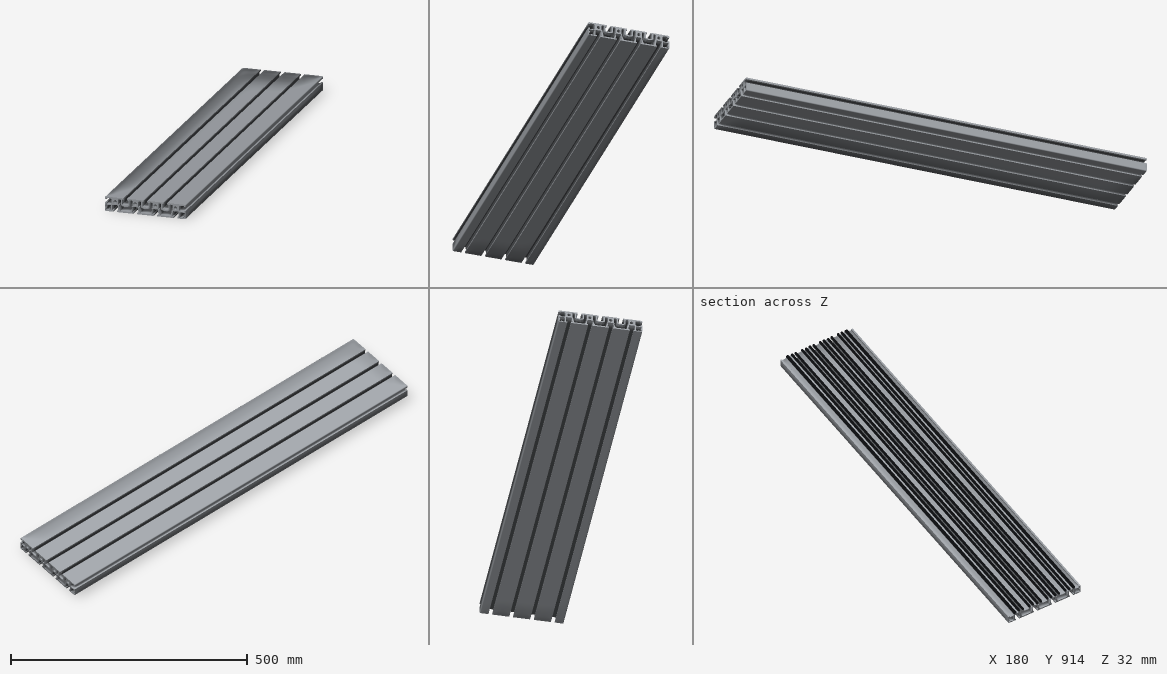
import cadquery as cq

length = 914.0
width = 180.0
height = 32.0
half_width = width / 2
half_height = height / 2
corner_radius = 2.0

skin = 3.0
slot_count = 4
pitch = 45.0
slot_opening = 8.0
skin_top = half_height - skin
skin_bottom = skin - half_height

cavity_half = 6.8
channel_wall = 2.8
channel_half = cavity_half + channel_wall
corner_fillet = 2.0
channel_floor_half = 4.0
channel_floor = 0.5
channel_shoulder = 2.0
channel_bottom = -2.5
channel_chamfer_top = 0.2

side_lip = 4.0
side_depth = 15.0
side_floor = -0.2
side_fillet = 3.2
side_slot_z = 6.8

box_wall = 1.65
box_depth = 14.0
box_top = -2.0
box_bottom = box_wall - half_height
rib_width = 4.0
rib_height = skin - box_wall

screw_diameter = 7.2
screw_z = 6.0
pillar_half = 6.6
pillar_bottom = -0.7
web_inner_top = 5.7
web_inner_bottom = 6.95
web_outer_bottom = 11.0
inner_foot_half = 8.5
inner_web_neck = 6.0
end_foot_half = 8.7
end_shoulder_z = 1.5

inner_flank = [
    (pillar_half, skin_top),
    (pillar_half, 0.0),
    (inner_foot_half, pillar_bottom),
    (inner_web_neck, box_top),
    (web_outer_bottom, skin_bottom),
]
end_flank = [
    (pillar_half, skin_top),
    (pillar_half, end_shoulder_z),
    (end_foot_half, side_floor),
    (end_foot_half, box_top),
    (web_outer_bottom, skin_bottom),
]

pillar_xs = [(i - (slot_count - 1) / 2) * pitch for i in range(slot_count)]
top_slot_xs = [(left + right) / 2 for left, right in zip(pillar_xs, pillar_xs[1:])]


def prism(points):
    """Full-length bar with the given XZ outline."""
    return cq.Workplane("XZ").polyline(points).close().extrude(length / 2, both=True)


def bar(x_min, x_max, z_min, z_max):
    """Full-length rectangular bar."""
    return prism([(x_min, z_min), (x_max, z_min), (x_max, z_max), (x_min, z_max)])


def mirrored(half_outline, x_centre):
    """Closed outline from its right half, reflected about x_centre."""
    right = [(x_centre + x, z) for x, z in half_outline]
    left = [(x_centre - x, z) for x, z in reversed(half_outline)]
    return right + left


def bay_void(index):
    """Hollow between two neighbouring pillars, from the top skin to the bottom skin."""
    left_flank = end_flank if index == 0 else inner_flank
    right_flank = end_flank if index == slot_count - 2 else inner_flank
    left = [(pillar_xs[index] + x, z) for x, z in left_flank]
    right = [(pillar_xs[index + 1] - x, z) for x, z in reversed(right_flank)]
    return prism(left + right)


def top_channel(x_centre):
    """Trough hanging from the top skin around a top slot."""
    half_outline = [
        (channel_half, skin_top),
        (channel_half, channel_chamfer_top),
        (channel_floor_half, channel_bottom),
    ]
    return prism(mirrored(half_outline, x_centre))


def top_slot(x_centre):
    """T-slot open to the top, with sloping sides next to its narrow floor."""
    half_outline = [
        (cavity_half, skin_top),
        (cavity_half, channel_shoulder),
        (channel_floor_half, channel_floor),
    ]
    cavity = prism(mirrored(half_outline, x_centre)).edges("|Y and >Z").fillet(corner_fillet)
    x_min = x_centre - slot_opening / 2
    opening = bar(x_min, x_min + slot_opening, skin_top - corner_fillet, half_height)
    return cavity.union(opening)


def bottom_slot(index):
    """Slot open to the bottom between the webs; the end slots are upright on the outer side."""
    x_centre = pillar_xs[index]
    flank = [
        (web_inner_top, pillar_bottom),
        (web_inner_bottom, skin_bottom),
        (slot_opening / 2, skin_bottom),
        (slot_opening / 2, -half_height),
    ]
    upright_flank = [(cavity_half, pillar_bottom), (cavity_half, skin_bottom)] + flank[2:]
    left_flank = upright_flank if index == 0 else flank
    right_flank = upright_flank if index == slot_count - 1 else flank
    right = [(x_centre + x, z) for x, z in right_flank]
    left = [(x_centre - x, z) for x, z in reversed(left_flank)]
    return prism(right + left)


def left_side_slot():
    """T-slot open to the left side, rounded where the cavity meets the pillar."""
    z_min = side_slot_z - slot_opening / 2
    opening = bar(-half_width, side_lip - half_width, z_min, z_min + slot_opening)
    cavity = bar(side_lip - half_width, side_depth - half_width, side_floor, skin_top)
    cavity = cavity.edges("|Y and >X").fillet(side_fillet)
    return opening.union(cavity)


def left_corner_box():
    """Closed hollow in the lower left corner, less the ribs on its two outer walls."""
    x_min = box_wall - half_width
    x_max = box_depth - half_width
    x_mid = (x_min + x_max) / 2
    z_mid = (box_bottom + box_top) / 2
    hollow = bar(x_min, x_max, box_bottom, box_top)
    side_rib = bar(x_min, x_min + rib_height, z_mid - rib_width / 2, z_mid + rib_width / 2)
    floor_rib = bar(x_mid - rib_width / 2, x_mid + rib_width / 2, box_bottom, box_bottom + rib_height)
    return hollow.cut(side_rib).cut(floor_rib)


result = cq.Workplane("XY").box(width, length, height).edges("|Y").fillet(corner_radius)

for bay, slot_x in enumerate(top_slot_xs):
    hollow = bay_void(bay).cut(top_channel(slot_x))
    result = result.cut(hollow.edges("|Y and >Z").fillet(corner_fillet))
    result = result.cut(top_slot(slot_x))

for pillar, pillar_x in enumerate(pillar_xs):
    result = result.cut(bottom_slot(pillar))
    screw_hole = (
        cq.Workplane("XZ")
        .center(pillar_x, screw_z)
        .circle(screw_diameter / 2)
        .extrude(length / 2, both=True)
    )
    result = result.cut(screw_hole)

for left_cut in (left_side_slot(), left_corner_box()):
    result = result.cut(left_cut).cut(left_cut.mirror("YZ"))